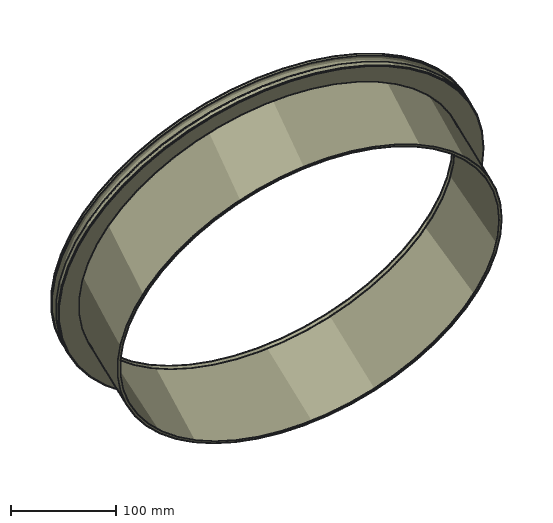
import cadquery as cq

OVERALL_LENGTH = 100.0
FLANGE_DIAMETER = 450.0
FLANGE_THICKNESS = 17.0
RIM_CHAMFER = 0.75
TUBE_OUTER_DIAMETER = 406.4
TUBE_BORE_DIAMETER = 400.4

LIP_BORE_DIAMETER = 400.0
LIP_LENGTH = 4.6

GROOVE_RADIUS = 4.0
GROOVE_CENTER_X = 7.5


def ring(outer_diameter, inner_diameter, start_x, end_x):
    """Plain ring about the X axis between two X positions."""
    return (
        cq.Workplane("YZ", origin=(start_x, 0, 0))
        .circle(outer_diameter / 2)
        .circle(inner_diameter / 2)
        .extrude(end_x - start_x)
    )


def flange_body():
    """Flange with chamfered rim and half-round groove, solid through its centre."""
    rim_radius = FLANGE_DIAMETER / 2
    chamfered_radius = rim_radius - RIM_CHAMFER

    half_section = (
        cq.Workplane("XY")
        .moveTo(0, 0)
        .lineTo(0, chamfered_radius)
        .lineTo(RIM_CHAMFER, rim_radius)
        .lineTo(GROOVE_CENTER_X - GROOVE_RADIUS, rim_radius)
        .threePointArc(
            (GROOVE_CENTER_X, rim_radius - GROOVE_RADIUS),
            (GROOVE_CENTER_X + GROOVE_RADIUS, rim_radius),
        )
        .lineTo(FLANGE_THICKNESS - RIM_CHAMFER, rim_radius)
        .lineTo(FLANGE_THICKNESS, chamfered_radius)
        .lineTo(FLANGE_THICKNESS, 0)
        .close()
    )
    return half_section.revolve(360, (0, 0, 0), (1, 0, 0))


def bore(diameter, start_x, end_x):
    """Cutting cylinder about the X axis between two X positions."""
    return cq.Workplane("YZ", origin=(start_x, 0, 0)).circle(diameter / 2).extrude(end_x - start_x)


flange = (
    flange_body()
    .cut(bore(LIP_BORE_DIAMETER, 0, FLANGE_THICKNESS))
    .cut(bore(TUBE_BORE_DIAMETER, LIP_LENGTH, FLANGE_THICKNESS))
)
tube = ring(TUBE_OUTER_DIAMETER, TUBE_BORE_DIAMETER, LIP_LENGTH, OVERALL_LENGTH)

result = flange.union(tube).clean()